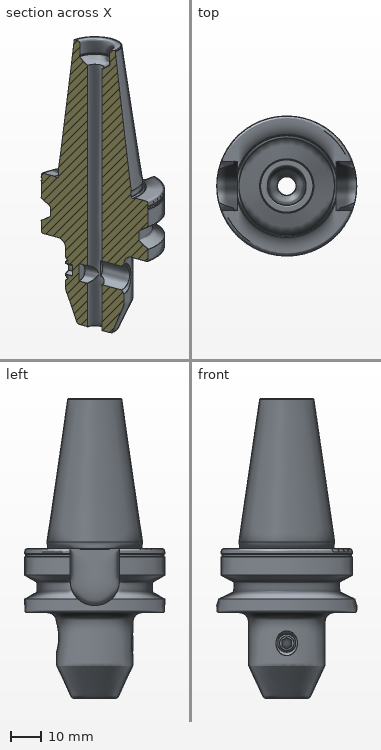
import cadquery as cq
import math

total_length = 98.4
flange_bottom = 28.1
flange_top = 49.2

taper_bottom = 51.3
taper_large_radius = 15.7
taper_slope = 7 / 48
taper_tip_chamfer = 0.3
neck_top = 50.4
neck_radius = 15.5

recess_radius = 16.5
recess_rim_chamfer = 0.4

flange_radius = 46.0 / 2
flange_top_fillet = 1.1
flange_bottom_fillet = 0.9
lower_rim_top = 32.6
upper_rim_bottom = 40.4
groove_floor_radius = 19.0
groove_wall_angle = 30
groove_upper_fillet = 0.7
groove_lower_fillet = 0.4
mark_groove_level = 46.9
mark_groove_mouth = 1.2
mark_groove_floor = 0.6
mark_groove_depth = 0.3

slot_width = 16.1
slot_floor_distance = 16.1
slot_bottom = 30.5

nose_radius = 12.6
nose_end_radius = 7.5
nose_taper_angle = 25
nose_root_fillet = 3
nose_shoulder_fillet = 2
nose_end_fillet = 1.5

tool_bore_radius = 3.05
seat_radius = 6.3
seat_mouth_fillet = 0.8
seat_depth = 4.8
undercut_radius = 6.4
undercut_top_depth = 5.1
undercut_bottom_depth = 5.4
seat_step_radius = 5.2
seat_step_depth = 6.4
drill_point_angle = 118

screw_level = 18.1
screw_radius = 3
screw_length = 5.9
screw_chamfer = 0.6
screw_countersink_radius = 4.0
socket_across_flats = 3.2
socket_depth = 3

clamp_level = 20.1
clamp_hole_radius = 4.0
clamp_countersink_radius = 5.1

cut_overshoot = 1


def ring_edges(body, radius, level):
    """The circular edges of a turned body at one level, no larger than one radius."""
    slack = 0.01
    reach = radius + slack
    low_corner = (-reach, -reach, level - slack)
    high_corner = (reach, reach, level + slack)
    inside = cq.selectors.BoxSelector(low_corner, high_corner, boundingbox=True)
    return body.edges("%CIRCLE").edges(inside)


def make_nose():
    """Cylinder tapering to a rounded end, standing below the flange."""
    taper_length = (nose_radius - nose_end_radius) / math.tan(math.radians(nose_taper_angle))
    nose = (
        cq.Workplane("XZ")
        .lineTo(nose_end_radius, 0)
        .lineTo(nose_radius, taper_length)
        .lineTo(nose_radius, flange_bottom)
        .lineTo(0, flange_bottom)
        .close()
        .revolve(360, (0, 0), (0, 1))
    )
    nose = nose.faces("<Z").edges().fillet(nose_end_fillet)
    return ring_edges(nose, nose_radius, taper_length).fillet(nose_shoulder_fillet)


def make_flange():
    """Flange disc with its grooves and rounded rims."""
    wall_height = (flange_radius - groove_floor_radius) * math.tan(math.radians(groove_wall_angle))
    floor_bottom = lower_rim_top + wall_height
    floor_top = upper_rim_bottom - wall_height
    mark_radius = flange_radius - mark_groove_depth
    flange = (
        cq.Workplane("XZ")
        .moveTo(0, flange_bottom)
        .lineTo(flange_radius, flange_bottom)
        .lineTo(flange_radius, lower_rim_top)
        .lineTo(groove_floor_radius, floor_bottom)
        .lineTo(groove_floor_radius, floor_top)
        .lineTo(flange_radius, upper_rim_bottom)
        .lineTo(flange_radius, mark_groove_level - mark_groove_mouth / 2)
        .lineTo(mark_radius, mark_groove_level - mark_groove_floor / 2)
        .lineTo(mark_radius, mark_groove_level + mark_groove_floor / 2)
        .lineTo(flange_radius, mark_groove_level + mark_groove_mouth / 2)
        .lineTo(flange_radius, flange_top)
        .lineTo(0, flange_top)
        .close()
        .revolve(360, (0, 0), (0, 1))
    )
    flange = ring_edges(flange, groove_floor_radius, floor_bottom).fillet(groove_lower_fillet)
    flange = ring_edges(flange, groove_floor_radius, floor_top).fillet(groove_upper_fillet)
    flange = flange.faces("<Z").edges().fillet(flange_bottom_fillet)
    return flange.faces(">Z").edges().fillet(flange_top_fillet)


def make_taper():
    """Taper above the flange, carried by a slightly narrower neck."""
    tip_radius = taper_large_radius - taper_slope * (total_length - taper_bottom)
    taper = (
        cq.Workplane("XZ")
        .moveTo(0, flange_top)
        .lineTo(neck_radius, flange_top)
        .lineTo(neck_radius, neck_top)
        .lineTo(taper_large_radius, taper_bottom)
        .lineTo(tip_radius, total_length)
        .lineTo(0, total_length)
        .close()
        .revolve(360, (0, 0), (0, 1))
    )
    return taper.faces(">Z").edges().chamfer(taper_tip_chamfer)


def make_neck_recess():
    """Cutter for the ring recess: chamfered rim and a concave fillet up to the neck."""
    recess_fillet = recess_radius - neck_radius
    floor_level = flange_top - recess_rim_chamfer
    fillet_top = floor_level + recess_fillet
    return (
        cq.Workplane("XZ")
        .moveTo(neck_radius, fillet_top)
        .radiusArc((recess_radius, floor_level), -recess_fillet)
        .lineTo(recess_radius + recess_rim_chamfer, flange_top)
        .lineTo(recess_radius + recess_rim_chamfer, fillet_top)
        .close()
        .revolve(360, (0, 0), (0, 1))
    )


def make_drive_slot(side):
    """Cutter for one drive slot: flat floor, round lower end, open at the flange top."""
    slot_radius = slot_width / 2
    return (
        cq.Workplane("YZ", origin=(side * slot_floor_distance, 0, 0))
        .moveTo(-slot_radius, flange_top)
        .lineTo(-slot_radius, slot_bottom + slot_radius)
        .threePointArc((0, slot_bottom), (slot_radius, slot_bottom + slot_radius))
        .lineTo(slot_radius, flange_top)
        .close()
        .extrude(side * flange_radius)
    )


def make_bore():
    """Cutter for the tool bore and the undercut, stepped seat at the taper end."""
    step_floor = total_length - seat_step_depth
    point_height = (seat_step_radius - tool_bore_radius) / math.tan(math.radians(drill_point_angle / 2))
    mouth_radius = seat_radius + seat_mouth_fillet
    return (
        cq.Workplane("XZ")
        .lineTo(tool_bore_radius, 0)
        .lineTo(tool_bore_radius, step_floor - point_height)
        .lineTo(seat_step_radius, step_floor)
        .lineTo(undercut_radius, total_length - undercut_bottom_depth)
        .lineTo(undercut_radius, total_length - undercut_top_depth)
        .lineTo(seat_radius, total_length - seat_depth)
        .lineTo(seat_radius, total_length - seat_mouth_fillet)
        .radiusArc((mouth_radius, total_length), seat_mouth_fillet)
        .lineTo(0, total_length)
        .close()
        .revolve(360, (0, 0), (0, 1))
    )


def make_radial_hole(level, side, hole_radius, countersink_radius):
    """Cutter for a countersunk hole from the axis out through the nose wall."""
    reach = nose_radius + cut_overshoot
    countersink_start = nose_radius - (countersink_radius - hole_radius)
    return (
        cq.Workplane("XY", origin=(0, 0, level))
        .lineTo(hole_radius, 0)
        .lineTo(hole_radius, side * countersink_start)
        .lineTo(hole_radius + reach - countersink_start, side * reach)
        .lineTo(0, side * reach)
        .close()
        .revolve(360, (0, 0), (0, 1))
    )


def make_set_screw():
    """Set screw flush with the nose radius, with a chamfered end and a hexagon socket."""
    socket_corner_diameter = socket_across_flats / math.cos(math.radians(30))
    screw_end = cq.Workplane("XZ", origin=(0, -nose_radius, screw_level))
    screw = screw_end.circle(screw_radius).extrude(-screw_length)
    screw = screw.faces("<Y").edges().chamfer(screw_chamfer)
    socket = (
        screw_end.transformed(rotate=(0, 0, 30))
        .polygon(6, socket_corner_diameter)
        .extrude(-socket_depth)
    )
    return screw.cut(socket)


body = make_nose().union(make_flange()).union(make_taper())
body = ring_edges(body, nose_radius, flange_bottom).fillet(nose_root_fillet)
body = body.cut(make_neck_recess())
for side in (-1, 1):
    body = body.cut(make_drive_slot(side))
body = body.cut(make_bore())
body = body.cut(make_radial_hole(clamp_level, 1, clamp_hole_radius, clamp_countersink_radius))
body = body.cut(make_radial_hole(screw_level, -1, screw_radius, screw_countersink_radius))
result = body.union(make_set_screw())